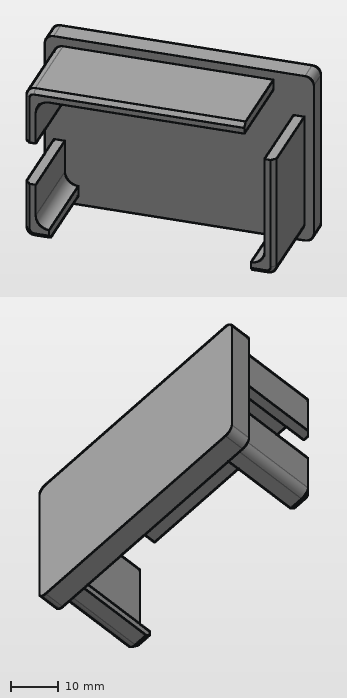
import cadquery as cq

PLATE_LENGTH = 60.0
PLATE_HEIGHT = 40.0
PLATE_THICKNESS = 5.0
TOTAL_DEPTH = 25.0
CORNER_RADIUS = 2.0

WALL_INSET = 2.1
WALL_THICKNESS = 2.4
INNER_RADIUS = 3.0
TIP_CHAMFER = 1.0

SIDE_GAP = 10.0
TOP_WALL_END_FROM_EDGE = 9.0
RIGHT_WALL_TOP_FROM_EDGE = 9.9

wall_depth = TOTAL_DEPTH - PLATE_THICKNESS
ring_length = PLATE_LENGTH - 2 * WALL_INSET
ring_height = PLATE_HEIGHT - 2 * WALL_INSET
cavity_length = ring_length - 2 * WALL_THICKNESS
cavity_height = ring_height - 2 * WALL_THICKNESS
half_length = PLATE_LENGTH / 2
half_height = PLATE_HEIGHT / 2


def rounded_block(length, height, radius, front, back):
    """Block from y = front to y = back with its four Y edges rounded."""
    depth = back - front
    block = cq.Workplane("XY").box(length, depth, height).edges("|Y").fillet(radius)
    return block.translate((0, (front + back) / 2, 0))


def opening(left, right, bottom, top):
    """Cutter in front of the plate, spanning the whole wall depth."""
    cutter = cq.Workplane("XY").box(right - left, wall_depth, top - bottom, centered=False)
    return cutter.translate((left, -wall_depth, bottom))


plate = rounded_block(PLATE_LENGTH, PLATE_HEIGHT, CORNER_RADIUS, 0, PLATE_THICKNESS)

plug = rounded_block(ring_length, ring_height, CORNER_RADIUS, -wall_depth, 0)
plug = plug.faces("<Y").chamfer(TIP_CHAMFER)
ring = plug.cut(rounded_block(cavity_length, cavity_height, INNER_RADIUS, -wall_depth, 0))

ring = ring.cut(opening(-half_length, 0, -SIDE_GAP / 2, SIDE_GAP / 2))

top_wall_end = half_length - TOP_WALL_END_FROM_EDGE
right_wall_top = half_height - RIGHT_WALL_TOP_FROM_EDGE
ring = ring.cut(opening(top_wall_end, half_length, right_wall_top, half_height))

tab_end = cavity_length / 2 - INNER_RADIUS
ring = ring.cut(opening(-tab_end, tab_end, -half_height, 0))

result = plate.union(ring).translate((0, TOTAL_DEPTH / 2 - PLATE_THICKNESS, 0))